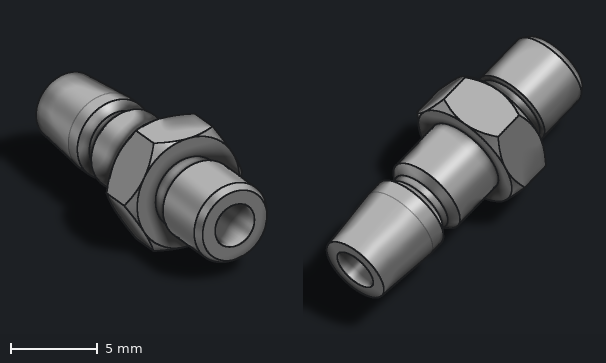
import cadquery as cq
import math

HEX_START = 10.0
HEX_WIDTH = 3.0
HEX_END = HEX_START + HEX_WIDTH
THREAD_START = 14.2
LENGTH = 18.0

BODY_RADIUS = 2.5
TAPER_LENGTH = 4.0
TAPER_ANGLE = 5.0
TIP_RADIUS = BODY_RADIUS - TAPER_LENGTH * math.tan(math.radians(TAPER_ANGLE))
GROOVE_START = 5.0
GROOVE_RADIUS = 2.0
GROOVE_FLANK = 0.5
GROOVE_FLOOR = 0.5

HEX_SIDES = 6
ACROSS_FLATS = 7.0
ACROSS_CORNERS = ACROSS_FLATS / math.cos(math.pi / HEX_SIDES)

THREAD_RADIUS = 2.5
NECK_RADIUS = 2.25
THREAD_LEAD_IN = 0.12
END_CHAMFER_LENGTH = 0.45
END_CHAMFER_DEPTH = 0.29

BORE_DIAMETER = 2.7


def turned_body():
    """Revolve the stepped outline, without the hexagon, about the X axis."""
    floor_start = GROOVE_START + GROOVE_FLANK
    floor_end = floor_start + GROOVE_FLOOR
    groove_end = floor_end + GROOVE_FLANK
    outline = (
        cq.Workplane("XZ")
        .lineTo(0, TIP_RADIUS)
        .lineTo(TAPER_LENGTH, BODY_RADIUS)
        .lineTo(GROOVE_START, BODY_RADIUS)
        .lineTo(floor_start, GROOVE_RADIUS)
        .lineTo(floor_end, GROOVE_RADIUS)
        .lineTo(groove_end, BODY_RADIUS)
        .lineTo(HEX_END, BODY_RADIUS)
        .lineTo(HEX_END, NECK_RADIUS)
        .lineTo(THREAD_START - THREAD_LEAD_IN, NECK_RADIUS)
        .lineTo(THREAD_START, THREAD_RADIUS)
        .lineTo(LENGTH - END_CHAMFER_LENGTH, THREAD_RADIUS)
        .lineTo(LENGTH, THREAD_RADIUS - END_CHAMFER_DEPTH)
        .lineTo(LENGTH, 0)
        .close()
    )
    return outline.revolve(360, (0, 0, 0), (1, 0, 0))


def hexagon():
    """Hexagon with corners on +Y and -Y, beveled at 45 degrees on both faces."""
    prism = (
        cq.Workplane("YZ", origin=(HEX_START, 0, 0))
        .polygon(HEX_SIDES, ACROSS_CORNERS)
        .extrude(HEX_WIDTH)
    )
    corner_radius = ACROSS_CORNERS / 2
    bevel = corner_radius - ACROSS_FLATS / 2
    bevel_envelope = (
        cq.Workplane("YZ", origin=(HEX_START, 0, 0))
        .circle(corner_radius)
        .extrude(HEX_WIDTH)
        .edges("%CIRCLE")
        .chamfer(bevel)
    )
    return prism.intersect(bevel_envelope)


def bore():
    """Through hole along the full length."""
    return cq.Workplane("YZ").circle(BORE_DIAMETER / 2).extrude(LENGTH)


result = turned_body().union(hexagon()).cut(bore())